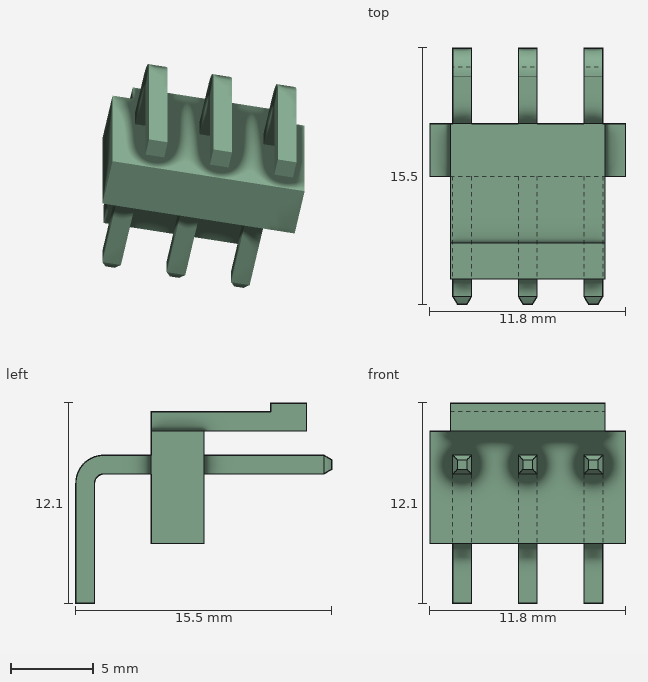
import cadquery as cq

body_width = 11.82
body_depth = 3.2
body_height = 6.8

plate_width = 9.35
plate_length = 9.4
plate_thickness = 1.18
lip_length = 2.18
lip_height = 0.51

pin_count = 3
pin_pitch = 3.96
pin_size = 1.15
pin_center_z = 4.78
tail_reach = 4.55
tail_drop = 3.6
overall_length = 15.47
tip_length = 0.48
tip_size = 0.57
bend_inner_radius = 0.55

bend_outer_radius = bend_inner_radius + pin_size
pin_front_y = tail_reach - overall_length
pin_top_z = pin_center_z + pin_size / 2
pin_bottom_z = pin_center_z - pin_size / 2


def make_body():
    return cq.Workplane("XY").box(
        body_width, body_depth, body_height, centered=(True, False, False)
    ).translate((0, -body_depth, 0))


def make_plate():
    """Plate flush with the housing back, overhanging the mating side."""
    plate_top = body_height + plate_thickness
    lip_top = plate_top + lip_height
    lip_back_y = lip_length - plate_length
    return (
        cq.Workplane("YZ")
        .moveTo(0, body_height)
        .lineTo(0, plate_top)
        .lineTo(lip_back_y, plate_top)
        .lineTo(lip_back_y, lip_top)
        .lineTo(-plate_length, lip_top)
        .lineTo(-plate_length, body_height)
        .close()
        .extrude(plate_width / 2, both=True)
    )


def make_pin():
    """Bent square pin with a tapered mating tip, centred on X = 0."""
    shaft_front_y = pin_front_y + tip_length
    bend_start_y = tail_reach - bend_outer_radius
    bend_end_z = pin_top_z - bend_outer_radius
    shaft = (
        cq.Workplane("YZ")
        .moveTo(shaft_front_y, pin_top_z)
        .lineTo(bend_start_y, pin_top_z)
        .radiusArc((tail_reach, bend_end_z), bend_outer_radius)
        .lineTo(tail_reach, -tail_drop)
        .lineTo(tail_reach - pin_size, -tail_drop)
        .lineTo(tail_reach - pin_size, bend_end_z)
        .radiusArc((bend_start_y, pin_bottom_z), -bend_inner_radius)
        .lineTo(shaft_front_y, pin_bottom_z)
        .close()
        .extrude(pin_size / 2, both=True)
    )
    tip = (
        cq.Workplane("XZ", origin=(0, shaft_front_y, pin_center_z))
        .rect(pin_size, pin_size)
        .workplane(offset=tip_length)
        .rect(tip_size, tip_size)
        .loft(combine=True)
    )
    return shaft.union(tip)


result = make_body().union(make_plate())
pin = make_pin()
for index in range(pin_count):
    pin_x = (index - (pin_count - 1) / 2) * pin_pitch
    result = result.union(pin.translate((pin_x, 0, 0)))